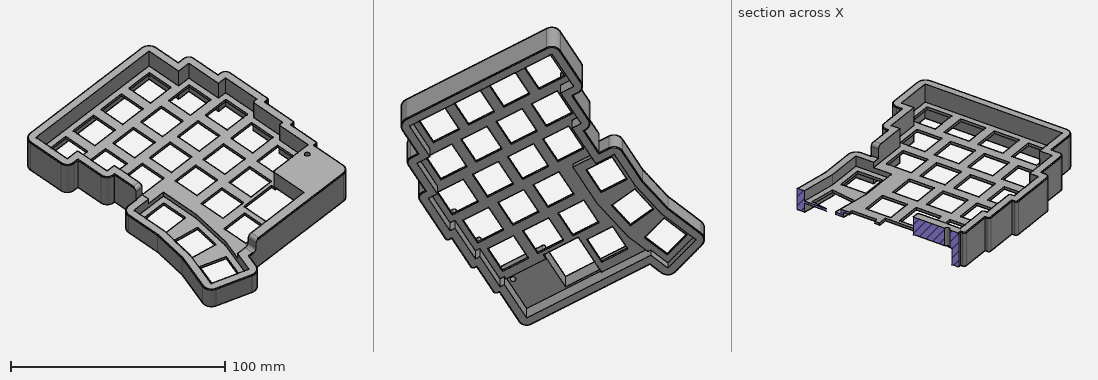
import cadquery as cq
import math


pitch = 19.0
key_hole = 14.0
clearance = 0.5
cell_half = pitch / 2 + clearance
columns = [(0, 4), (7.0, 4), (11.8, 4), (9.1 + pitch, 3), (6.7 + pitch, 3), (2.2 + pitch, 1)]
thumb_keys = [(61.0, 1.9, 0), (82.2, 0.1, 9), (103.5, -5.4, 19)]

body_height = 19.0
thumb_height = 12.0
main_plate_top = 9.0
thumb_plate_top = 6.3
plate_thickness = 1.5

wall = 4.2
edge_chamfer = 0.4
free_corner_radius = 4.7
step_corner_radius = 4.2
back_corner_radius = 3.1
small_corner_radius = 1.0
small_shell_radius = 1.3
step_radius = 2.0
step_y = 11.8

hollow_right = 106.3
cavity_right = 105.4
block_left = 85.6
shell_step_x = 83.9
block_front = 49.7
hollow_back = 71.2
opening_left = 84.7
opening_front = 30.9
button_hole_diameter = 2.5
button_hole_centre = (89.5, 68.8)

reach = 134.4


def column_x(index):
    return index * pitch


def column_bottom(index):
    return columns[index][0] - cell_half


def column_top(index):
    lowest, count = columns[index]
    return lowest + (count - 1) * pitch + cell_half


def key_side_point(key, along, across):
    """Point of a turned key cell, measured along and across the key from its centre."""
    x, y, turn = key
    c = math.cos(math.radians(turn))
    s = math.sin(math.radians(turn))
    return (x + along * c + across * s, y - along * s + across * c)


def meet_sides(key_a, key_b, across):
    """Point where the upper or lower sides of two neighbouring key cells meet."""
    ax, ay = key_side_point(key_a, 0, across)
    bx, by = key_side_point(key_b, 0, across)
    turn_a = math.radians(key_a[2])
    turn_b = math.radians(key_b[2])
    along = ((bx - ax) * math.sin(turn_b) + (by - ay) * math.cos(turn_b)) / math.sin(turn_b - turn_a)
    return key_side_point(key_a, along, across)


def prism(points, bottom, top):
    return cq.Workplane("XY").workplane(offset=bottom).polyline(points).close().extrude(top - bottom)


def box(x_range, y_range, z_range):
    left, right = x_range
    front, back = y_range
    return prism([(left, front), (right, front), (right, back), (left, back)], *z_range)


first, second, third = thumb_keys
thumb_left = first[0] - cell_half
thumb_lower = [
    (thumb_left, first[1] - cell_half),
    meet_sides(first, second, -cell_half),
    meet_sides(second, third, -cell_half),
    key_side_point(third, cell_half, -cell_half),
    key_side_point(third, cell_half, cell_half),
]
thumb_upper = [
    meet_sides(second, third, cell_half),
    meet_sides(first, second, cell_half),
    (thumb_left, first[1] + cell_half),
]
thumb_outline = thumb_lower + thumb_upper


def thumb_upper_at(x):
    """Point on the upper side of the last thumb cell at the given x."""
    corner_x, corner_y = thumb_upper[0]
    return (x, corner_y - (x - corner_x) * math.tan(math.radians(third[2])))


finger_lower = [
    (-cell_half, column_bottom(0)),
    (column_x(0) + cell_half, column_bottom(0)),
    (column_x(0) + cell_half, column_bottom(1)),
    (column_x(1) + cell_half, column_bottom(1)),
    (column_x(1) + cell_half, column_bottom(2)),
    (thumb_left, column_bottom(2)),
]
finger_upper = [
    (column_x(3) + cell_half, column_top(4)),
    (column_x(3) + cell_half, column_top(3)),
    (column_x(2) + cell_half, column_top(3)),
    (column_x(2) + cell_half, column_top(2)),
    (column_x(2) - cell_half, column_top(2)),
    (column_x(2) - cell_half, column_top(1)),
    (column_x(1) - cell_half, column_top(1)),
    (column_x(1) - cell_half, column_top(0)),
    (-cell_half, column_top(0)),
]


def full_outline(back_step_x):
    """All key cells and the controller corner; its back edge steps down at back_step_x."""
    controller = [
        thumb_upper_at(hollow_right),
        (hollow_right, hollow_back),
        (back_step_x, hollow_back),
        (back_step_x, column_top(4)),
    ]
    return finger_lower + thumb_lower + controller + finger_upper


hollow_outline = full_outline(block_left)


def finger_outline(right, block_edge):
    """Finger key area, bounded by the thumb cells below and the controller block at the back."""
    return finger_lower + thumb_upper[::-1] + [
        thumb_upper_at(right),
        (right, block_front),
        (block_edge, block_front),
        (block_edge, column_top(4)),
    ] + finger_upper


def fillet_uprights(solid, points, radius):
    """Round the upright edges that stand on the given points."""
    for x, y in points:
        solid = solid.edges("|Z").edges(cq.selectors.NearestToPointSelector((x, y, body_height / 2)))
        solid = solid.fillet(radius)
    return solid


def outer_shell(height):
    to_wall = cell_half + wall
    free_corners = [
        (-to_wall, -to_wall),
        (-to_wall, column_top(0) + wall),
        (thumb_left - wall, first[1] - to_wall),
        key_side_point(third, to_wall, -to_wall),
        key_side_point(third, to_wall, to_wall),
    ]
    step_corners = [
        (column_x(0) + to_wall, column_bottom(0) - wall),
        (column_x(1) + to_wall, column_bottom(1) - wall),
        (hollow_right + wall, hollow_back + wall),
    ]
    back_corners = [
        (column_x(1) - to_wall, column_top(1) + wall),
        (column_x(2) - to_wall, column_top(2) + wall),
    ]
    small_corners = [
        (column_x(2) + to_wall, column_top(2) + wall),
        (column_x(3) + to_wall, column_top(3) + wall),
        (shell_step_x + wall, column_top(4) + wall),
    ]
    shell = (
        cq.Workplane("XY")
        .polyline(full_outline(shell_step_x))
        .close()
        .offset2D(wall, "intersection")
        .extrude(height)
    )
    shell = fillet_uprights(shell, free_corners, free_corner_radius)
    shell = fillet_uprights(shell, step_corners, step_corner_radius)
    shell = fillet_uprights(shell, back_corners, back_corner_radius)
    shell = fillet_uprights(shell, small_corners, small_shell_radius)
    return shell.faces("<Z or >Z").edges().chamfer(edge_chamfer)


def main_cavity():
    """Open space above the finger keys, with its inward-pointing back corners rounded."""
    rounded_corners = [
        (column_x(2) + cell_half, column_top(3)),
        (column_x(3) + cell_half, column_top(4)),
        (block_left, block_front),
    ]
    cavity = prism(finger_outline(cavity_right, block_left), main_plate_top, body_height)
    return fillet_uprights(cavity, rounded_corners, small_corner_radius)


def thumb_drop():
    """Space above and around the thumb cluster that is removed from the tall shell."""
    drop_x = thumb_left - wall
    split_x = first[0]
    left = (
        cq.Workplane("XZ", origin=(0, step_y, 0))
        .moveTo(drop_x, 0)
        .lineTo(drop_x, body_height - step_radius)
        .radiusArc((drop_x - step_radius, body_height), -step_radius)
        .lineTo(split_x, body_height)
        .lineTo(split_x, 0)
        .close()
        .extrude(reach)
    )
    foot_y = step_y - step_radius
    right = (
        cq.Workplane("YZ", origin=(split_x, 0, 0))
        .moveTo(-reach, 0)
        .lineTo(foot_y, 0)
        .lineTo(foot_y, thumb_height)
        .radiusArc((step_y, thumb_height + step_radius), -step_radius)
        .lineTo(step_y, body_height - step_radius)
        .radiusArc((step_y + step_radius, body_height), step_radius)
        .lineTo(-reach, body_height)
        .close()
        .extrude(reach)
    )
    return left.union(right)


def key_holes():
    holes = cq.Workplane("XY")
    keys = [
        (column_x(i), lowest + row * pitch, 0)
        for i, (lowest, count) in enumerate(columns)
        for row in range(count)
    ] + thumb_keys
    for x, y, turn in keys:
        hole = cq.Workplane("XY").rect(key_hole, key_hole).extrude(main_plate_top)
        holes = holes.add(hole.rotate((0, 0, 0), (0, 0, 1), -turn).translate((x, y, 0)))
    return holes.combine()


body = outer_shell(body_height).cut(thumb_drop()).union(outer_shell(thumb_height))

body = body.cut(prism(hollow_outline, 0, main_plate_top))
body = body.cut(main_cavity())
body = body.cut(prism(thumb_outline, thumb_plate_top, body_height))

lap = plate_thickness
main_plate = prism(
    finger_outline(hollow_right, block_left + lap), main_plate_top - plate_thickness, main_plate_top
)
main_plate = main_plate.intersect(prism(hollow_outline, 0, main_plate_top))
main_plate = main_plate.cut(
    box((opening_left, hollow_right), (opening_front, block_front), (0, main_plate_top))
)
thumb_plate_bottom = thumb_plate_top - plate_thickness
thumb_plate = prism(thumb_outline, thumb_plate_bottom, thumb_plate_top)
riser = (
    cq.Workplane("XY")
    .workplane(offset=thumb_plate_bottom)
    .polyline(thumb_outline)
    .close()
    .offset2D(plate_thickness, "intersection")
    .extrude(main_plate_top - thumb_plate_bottom)
    .cut(prism(thumb_outline, 0, main_plate_top))
    .intersect(prism(finger_outline(hollow_right, block_left), 0, main_plate_top))
)
plates = main_plate.union(thumb_plate).union(riser).cut(key_holes())
body = body.union(plates)

button_hole = (
    cq.Workplane("XY").center(*button_hole_centre).circle(button_hole_diameter / 2).extrude(body_height)
)
result = body.cut(button_hole)